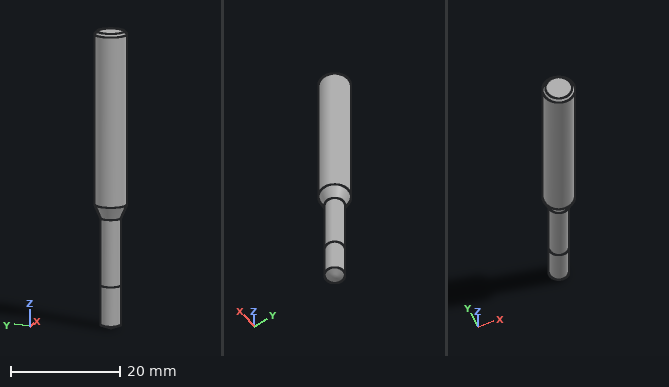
import cadquery as cq
import math

total_length = 55.65
shank_diameter = 6.0
cutting_diameter = 3.8

point_angle = 140.0
tip_length = 8.05

neck_top = 20.65
shank_bottom = 23.2
end_chamfer = 0.55

shank_radius = shank_diameter / 2
cutting_radius = cutting_diameter / 2
point_height = cutting_radius / math.tan(math.radians(point_angle / 2))


def turned_body(profile):
    """Revolve a closed (radius, height) profile about the Z axis."""
    outline = [(-radius, height) for radius, height in profile]
    return cq.Workplane("YZ").polyline(outline).close().revolve(360, (0, 0), (0, 1))


def make_cutting_tip():
    """Cylindrical tip with a conical drill point at its lower end."""
    return turned_body([
        (0, 0),
        (cutting_radius, point_height),
        (cutting_radius, tip_length),
        (0, tip_length),
    ])


def make_holder():
    """Neck that widens through a cone into the shank, chamfered at the top."""
    return turned_body([
        (0, tip_length),
        (cutting_radius, tip_length),
        (cutting_radius, neck_top),
        (shank_radius, shank_bottom),
        (shank_radius, total_length - end_chamfer),
        (shank_radius - end_chamfer, total_length),
        (0, total_length),
    ])


cutting_tip = make_cutting_tip()
holder = make_holder()

result = cq.Compound.makeCompound([cutting_tip.val(), holder.val()])